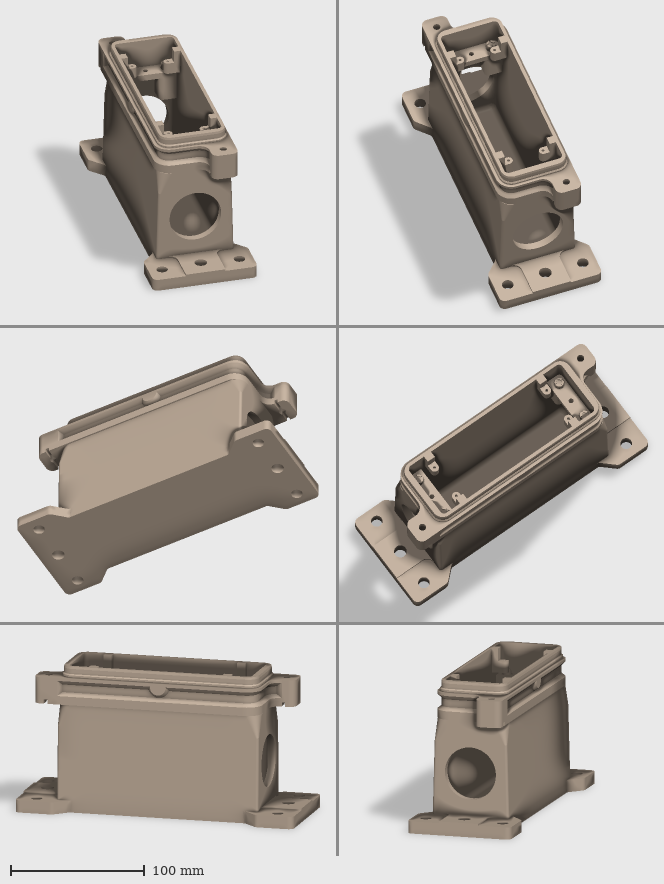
import cadquery as cq
import math

LENGTH = 216.0
WIDTH = 81.0
FOOT_HEIGHT = 9.3
FOOT_NECK_X = 79.0
FOOT_ROOT_X = 67.8
FOOT_CORNER_RADIUS = 4.3
FOOT_NECK_RADIUS = 4.3
FOOT_ROOT_RADIUS = 4.8
FOOT_HOLE_X = 93.5
FOOT_HOLE_Y = 30.0
FOOT_HOLE_DIAMETER = 8.6
PAD_HEIGHT = 10.5
PAD_WIDTH = 30.7
PAD_FLARE_RADIUS = 6.5
PAD_HOLE_DIAMETER = 9.5

BODY_LENGTH = 156.2
BODY_BASE_WIDTH = 60.5
BODY_TOP_WIDTH = 56.2
BODY_EDGE_RADIUS = 2.0
BODY_TOP_RADIUS = 9.5
SHOULDER_Z = 65.5
CABLE_HOLE_DIAMETER = 40.0
CABLE_HOLE_Z = 42.1

FLANGE_BOTTOM = 82.0
FLANGE_TOP = 102.4
FLANGE_WIDTH = 58.3
FLANGE_RADIUS = 12.0
EAR_TIP_X = 96.1
EAR_INNER_Y = 8.9
EAR_CORNER_RADIUS = 5.2
EAR_ROOT_RADIUS = 7.8
EAR_HOLE_X = 87.0
EAR_HOLE_Y = 19.2
EAR_HOLE_DIAMETER = 5.5
EAR_SLOT_WIDTH = 2.8
EAR_SLOT_DEPTH = 3.2
GROOVE_DEPTH = 3.2
GROOVE_START_RUN = 3.2
GROOVE_END_RUN = 6.5
GROOVE_BOTTOM = 88.5
GROOVE_FLOOR_BOTTOM = 91.2
GROOVE_FLOOR_TOP = 97.0
GROOVE_TOP = 100.2
STOP_Z = 99.8
STOP_ROOT_RADIUS = 8.5
STOP_FACE_RADIUS = 6.0

HEIGHT = 111.0
COLLAR_LENGTH = 151.2
COLLAR_WIDTH = 51.8
COLLAR_RADIUS = 8.6
COLLAR_BEVEL_HEIGHT = 1.7
COLLAR_BEVEL_INSET = 0.5
LIP_OVERHANG = 1.0
LIP_BOTTOM = 103.2
LIP_TOP = 105.5
LIP_CHAMFER = 0.9

CAVITY_TOP_LENGTH = 141.3
CAVITY_TOP_WIDTH = 45.8
CAVITY_LOWER_LENGTH = 144.7
CAVITY_FLOOR_WIDTH = 42.8
CAVITY_TOP_CORNER_RADIUS = 3.2
CAVITY_LOWER_CORNER_RADIUS = 4.3
CAVITY_FLOOR_Z = 9.3
CAVITY_FLOOR_RADIUS = 3.9
SHELF_INNER_X = 58.0
SHELF_TOP = 88.3
SHELF_THICKNESS = 4.8
GUSSET_BOTTOM = 64.8
GUSSET_INNER_Y = 9.0
GUSSET_EDGE_RADIUS = 3.2
SHELF_HOLE_X = 64.4
SHELF_HOLE_DIAMETER = 3.7
SCREW_X = 65.0
SCREW_Y = 16.0
SCREW_TOP = 92.7
SCREW_SEAT_DIAMETER = 8.6
SCREW_SEAT_DEPTH = 1.0
SCREW_DIAMETER = 7.0
SCREW_SOCKET_DIAMETER = 3.9
SCREW_SLOT_WIDTH = 1.0
SCREW_SLOT_DEPTH = 1.3
TAB_X = 51.8
TAB_WIDTH = 6.5
TAB_BLOCK_Y = 18.0
TAB_HOLE_Y = 13.8
TAB_POST_TOP = 101.3
TAB_BOTTOM = 92.5
TAB_HOLE_DIAMETER = 2.2
TAB_HOLE_DEPTH = 4.3

Z_AXIS_END = (0, 0, 1)
OVERLAP = 1.0


def rounded_block(length, width, bottom, top, radius):
    """Upright block centred on the Z axis with rounded vertical edges."""
    block = cq.Workplane("XY").workplane(offset=bottom).rect(length, width).extrude(top - bottom)
    return block.edges("|Z").fillet(radius)


def cylinder(x, y, bottom, top, diameter):
    """Upright cylinder."""
    return cq.Workplane("XY").workplane(offset=bottom).center(x, y).circle(diameter / 2).extrude(top - bottom)


def box(x_range, y_range, z_range):
    """Box from its limits along the three axes."""
    sizes = [limits[1] - limits[0] for limits in (x_range, y_range, z_range)]
    corner = (x_range[0], y_range[0], z_range[0])
    return cq.Workplane("XY").box(*sizes, centered=False).translate(corner)


def half_turn(shape):
    """The same feature at the diagonally opposite place."""
    return shape.rotate((0, 0, 0), Z_AXIS_END, 180)


def rounded_loft(bottom, bottom_size, bottom_radius, top, top_size, top_radius):
    """Ruled transition between two rounded rectangles."""
    lower = cq.Sketch().rect(*bottom_size).vertices().fillet(bottom_radius)
    upper = cq.Sketch().rect(*top_size).vertices().fillet(top_radius)
    upper = upper.moved(cq.Location(cq.Vector(0, 0, top - bottom)))
    return cq.Workplane("XY").workplane(offset=bottom).placeSketch(lower, upper).loft(ruled=True)


def body_width(z):
    """Width of the drafted body at height z."""
    return BODY_BASE_WIDTH + (BODY_TOP_WIDTH - BODY_BASE_WIDTH) * z / FLANGE_BOTTOM


def make_foot():
    """Foot plate at the -X end with its raised centre pad."""
    half_width = WIDTH / 2
    root_y = body_width(FOOT_HEIGHT) / 2
    inner_x = FOOT_ROOT_X - FOOT_ROOT_RADIUS
    outline = [
        (-LENGTH / 2, -half_width),
        (-FOOT_NECK_X, -half_width),
        (-FOOT_ROOT_X, -root_y),
        (-inner_x, -root_y),
        (-inner_x, root_y),
        (-FOOT_ROOT_X, root_y),
        (-FOOT_NECK_X, half_width),
        (-LENGTH / 2, half_width),
    ]
    foot = cq.Workplane("XY").polyline(outline).close().extrude(FOOT_HEIGHT)
    foot = foot.edges("|Z and <X").fillet(FOOT_CORNER_RADIUS)
    foot = foot.edges("|Z and (>Y or <Y)").edges(">X").fillet(FOOT_NECK_RADIUS)
    root_edges = cq.selectors.BoxSelector(
        (-FOOT_ROOT_X - OVERLAP, -half_width, 0), (-FOOT_ROOT_X + OVERLAP, half_width, FOOT_HEIGHT)
    )
    foot = foot.edges("|Z").edges(root_edges).fillet(FOOT_ROOT_RADIUS)

    pad_y = PAD_WIDTH / 2
    face_x = BODY_LENGTH / 2
    flare_x = face_x + PAD_FLARE_RADIUS
    flare_y = pad_y + PAD_FLARE_RADIUS
    pad = (
        cq.Workplane("XY")
        .moveTo(-LENGTH / 2, -pad_y)
        .lineTo(-flare_x, -pad_y)
        .radiusArc((-face_x, -flare_y), PAD_FLARE_RADIUS)
        .lineTo(-FOOT_ROOT_X, -flare_y)
        .lineTo(-FOOT_ROOT_X, flare_y)
        .lineTo(-face_x, flare_y)
        .radiusArc((-flare_x, pad_y), PAD_FLARE_RADIUS)
        .lineTo(-LENGTH / 2, pad_y)
        .close()
        .extrude(PAD_HEIGHT)
    )
    foot = foot.union(pad)
    for y in (-FOOT_HOLE_Y, FOOT_HOLE_Y):
        foot = foot.cut(cylinder(-FOOT_HOLE_X, y, 0, PAD_HEIGHT, FOOT_HOLE_DIAMETER))
    return foot.cut(cylinder(-FOOT_HOLE_X, 0, 0, PAD_HEIGHT, PAD_HOLE_DIAMETER))


def make_body():
    """Drafted body whose upright edges widen into cones under the flange."""
    base_size = (BODY_LENGTH, BODY_BASE_WIDTH)
    shoulder_size = (BODY_LENGTH, body_width(SHOULDER_Z))
    top_size = (BODY_LENGTH, BODY_TOP_WIDTH)
    lower = rounded_loft(0, base_size, BODY_EDGE_RADIUS, SHOULDER_Z, shoulder_size, BODY_EDGE_RADIUS)
    upper = rounded_loft(
        SHOULDER_Z, shoulder_size, BODY_EDGE_RADIUS, FLANGE_BOTTOM, top_size, BODY_TOP_RADIUS
    )
    return lower.union(upper)


def make_ear():
    """Ear at the -X, -Y corner of the flange, with a hole and a slot under it."""
    face_x = BODY_LENGTH / 2
    front_y = FLANGE_WIDTH / 2
    inner_x = face_x - FLANGE_RADIUS
    ear = (
        cq.Workplane("XY")
        .workplane(offset=FLANGE_BOTTOM)
        .moveTo(-inner_x, -front_y)
        .lineTo(-EAR_TIP_X, -front_y)
        .lineTo(-EAR_TIP_X, -EAR_INNER_Y)
        .lineTo(-face_x - EAR_ROOT_RADIUS, -EAR_INNER_Y)
        .radiusArc((-face_x, -EAR_INNER_Y + EAR_ROOT_RADIUS), -EAR_ROOT_RADIUS)
        .lineTo(-inner_x, -EAR_INNER_Y + EAR_ROOT_RADIUS)
        .close()
        .extrude(FLANGE_TOP - FLANGE_BOTTOM)
    )
    ear = ear.edges("|Z and <X").fillet(EAR_CORNER_RADIUS)
    ear = ear.cut(cylinder(-EAR_HOLE_X, -EAR_HOLE_Y, FLANGE_BOTTOM, FLANGE_TOP, EAR_HOLE_DIAMETER))
    slot = box(
        (-EAR_HOLE_X - EAR_SLOT_WIDTH / 2, -EAR_HOLE_X + EAR_SLOT_WIDTH / 2),
        (-front_y, -EAR_INNER_Y),
        (FLANGE_BOTTOM, FLANGE_BOTTOM + EAR_SLOT_DEPTH),
    )
    return ear.cut(slot)


def groove_end_slope(rim_x, rim_y, run):
    """Wedge that slopes one groove end from the rim to the floor over a run along X."""
    floor_y = rim_y + GROOVE_DEPTH
    return (
        cq.Workplane("XY")
        .workplane(offset=GROOVE_BOTTOM)
        .polyline([(rim_x, rim_y), (rim_x + run, floor_y), (rim_x, floor_y)])
        .close()
        .extrude(GROOVE_TOP - GROOVE_BOTTOM)
    )


def make_groove():
    """Flared groove along the -Y side, around the corner and up to the +X ear."""
    face_x = BODY_LENGTH / 2
    front_y = FLANGE_WIDTH / 2
    end_x = face_x + EAR_ROOT_RADIUS
    arc_share = 1 - math.sqrt(0.5)
    corner_mid = (face_x - FLANGE_RADIUS * arc_share, -front_y + FLANGE_RADIUS * arc_share)
    root_mid = (face_x + EAR_ROOT_RADIUS * arc_share, EAR_INNER_Y - EAR_ROOT_RADIUS * arc_share)
    path = (
        cq.Workplane("XY")
        .moveTo(-face_x, -front_y)
        .lineTo(face_x - FLANGE_RADIUS, -front_y)
        .threePointArc(corner_mid, (face_x, -front_y + FLANGE_RADIUS))
        .lineTo(face_x, EAR_INNER_Y - EAR_ROOT_RADIUS)
        .threePointArc(root_mid, (end_x, EAR_INNER_Y))
    )
    floor_y = -front_y + GROOVE_DEPTH
    section = [
        (-front_y - OVERLAP, GROOVE_BOTTOM),
        (-front_y, GROOVE_BOTTOM),
        (floor_y, GROOVE_FLOOR_BOTTOM),
        (floor_y, GROOVE_FLOOR_TOP),
        (-front_y, GROOVE_TOP),
        (-front_y - OVERLAP, GROOVE_TOP),
    ]
    plane = cq.Workplane("YZ", origin=(-face_x, 0, 0))
    groove = plane.polyline(section).close().sweep(path)
    start_slope = groove_end_slope(-face_x, -front_y, GROOVE_START_RUN)
    end_slope = groove_end_slope(end_x, EAR_INNER_Y, -GROOVE_END_RUN)
    stop = (
        cq.Workplane("XZ", origin=(0, -front_y, STOP_Z))
        .circle(STOP_FACE_RADIUS)
        .workplane(offset=-GROOVE_DEPTH)
        .circle(STOP_ROOT_RADIUS)
        .loft()
    )
    return groove.cut(start_slope).cut(end_slope).cut(stop)


def make_flange():
    """Flange with two diagonal ears and a groove along each side."""
    flange = rounded_block(BODY_LENGTH, FLANGE_WIDTH, FLANGE_BOTTOM, FLANGE_TOP, FLANGE_RADIUS)
    ear = make_ear()
    groove = make_groove()
    return flange.union(ear).union(half_turn(ear)).cut(groove).cut(half_turn(groove))


def make_collar():
    """Collar above the flange with a bevelled rim and a sealing lip."""
    bevel_z = HEIGHT - COLLAR_BEVEL_HEIGHT
    rim_length = COLLAR_LENGTH - 2 * COLLAR_BEVEL_INSET
    rim_width = COLLAR_WIDTH - 2 * COLLAR_BEVEL_INSET
    wall = rounded_block(COLLAR_LENGTH, COLLAR_WIDTH, FLANGE_TOP, bevel_z, COLLAR_RADIUS)
    rim = rounded_loft(
        bevel_z,
        (COLLAR_LENGTH, COLLAR_WIDTH),
        COLLAR_RADIUS,
        HEIGHT,
        (rim_length, rim_width),
        COLLAR_RADIUS - COLLAR_BEVEL_INSET,
    )
    lip_length = COLLAR_LENGTH + 2 * LIP_OVERHANG
    lip_width = COLLAR_WIDTH + 2 * LIP_OVERHANG
    lip = rounded_block(lip_length, lip_width, LIP_BOTTOM, LIP_TOP, COLLAR_RADIUS + LIP_OVERHANG)
    lip = lip.faces(">Z").edges().chamfer(LIP_CHAMFER)
    return wall.union(rim).union(lip)


def make_cavity():
    """Tapered, open-topped cavity with a coved floor, and the cable hole through both ends."""
    shelf_bottom = SHELF_TOP - SHELF_THICKNESS
    taper_share = (shelf_bottom - CAVITY_FLOOR_Z) / (HEIGHT - CAVITY_FLOOR_Z)
    shelf_width = CAVITY_FLOOR_WIDTH + taper_share * (CAVITY_TOP_WIDTH - CAVITY_FLOOR_WIDTH)
    lower = rounded_loft(
        CAVITY_FLOOR_Z,
        (CAVITY_LOWER_LENGTH, CAVITY_FLOOR_WIDTH),
        CAVITY_LOWER_CORNER_RADIUS,
        shelf_bottom,
        (CAVITY_LOWER_LENGTH, shelf_width),
        CAVITY_LOWER_CORNER_RADIUS,
    )
    lower = lower.faces("<Z").edges().fillet(CAVITY_FLOOR_RADIUS)
    upper = rounded_loft(
        shelf_bottom,
        (CAVITY_TOP_LENGTH, shelf_width),
        CAVITY_TOP_CORNER_RADIUS,
        HEIGHT,
        (CAVITY_TOP_LENGTH, CAVITY_TOP_WIDTH),
        CAVITY_TOP_CORNER_RADIUS,
    )
    cable_hole = (
        cq.Workplane("YZ", origin=(-BODY_LENGTH / 2, 0, CABLE_HOLE_Z))
        .circle(CABLE_HOLE_DIAMETER / 2)
        .extrude(BODY_LENGTH)
    )
    return lower.union(upper).union(cable_hole)


def make_screw(x, y):
    """Screw head with a round socket and crossed slots."""
    head = cylinder(x, y, SHELF_TOP - SCREW_SEAT_DEPTH, SCREW_TOP, SCREW_DIAMETER)
    slot_z = SCREW_TOP - SCREW_SLOT_DEPTH
    head = head.cut(cylinder(x, y, slot_z, SCREW_TOP, SCREW_SOCKET_DIAMETER))
    for angle in (0, 90):
        slot = cq.Workplane("XY").rect(SCREW_DIAMETER, SCREW_SLOT_WIDTH).extrude(SCREW_SLOT_DEPTH)
        head = head.cut(slot.rotate((0, 0, 0), Z_AXIS_END, angle).translate((x, y, slot_z)))
    return head


def make_shelf():
    """Shelf across the +X end of the cavity, on two gussets and carrying two screws."""
    shelf_bottom = SHELF_TOP - SHELF_THICKNESS
    x_limits = (SHELF_INNER_X, CAVITY_LOWER_LENGTH / 2 + OVERLAP)
    half_width = CAVITY_TOP_WIDTH / 2 + OVERLAP
    shelf = box(x_limits, (-half_width, half_width), (shelf_bottom, SHELF_TOP))
    shelf = shelf.cut(cylinder(SHELF_HOLE_X, 0, shelf_bottom, SHELF_TOP, SHELF_HOLE_DIAMETER))
    for side in (-1, 1):
        y_limits = sorted((side * GUSSET_INNER_Y, side * half_width))
        gusset = box(x_limits, y_limits, (GUSSET_BOTTOM, shelf_bottom))
        inner_edge = "<Y" if side > 0 else ">Y"
        gusset = gusset.edges("|Z and <X").edges(inner_edge).fillet(GUSSET_EDGE_RADIUS)
        screw_y = side * SCREW_Y
        seat = cylinder(SCREW_X, screw_y, SHELF_TOP - SCREW_SEAT_DEPTH, SHELF_TOP, SCREW_SEAT_DIAMETER)
        shelf = shelf.union(gusset).cut(seat).union(make_screw(SCREW_X, screw_y))
    return shelf


def make_tab(x, side):
    """Wall block with a lower round-nosed post, on the wall at side -1 or 1."""
    x_limits = (x - TAB_WIDTH / 2, x + TAB_WIDTH / 2)
    wall_y = side * (CAVITY_TOP_WIDTH / 2 + OVERLAP)
    block = box(x_limits, sorted((side * TAB_BLOCK_Y, wall_y)), (TAB_BOTTOM, HEIGHT))
    web = box(x_limits, sorted((side * TAB_HOLE_Y, wall_y)), (TAB_BOTTOM, TAB_POST_TOP))
    nose = cylinder(x, side * TAB_HOLE_Y, TAB_BOTTOM, TAB_POST_TOP, TAB_WIDTH)
    hole = cylinder(x, side * TAB_HOLE_Y, TAB_POST_TOP - TAB_HOLE_DEPTH, TAB_POST_TOP, TAB_HOLE_DIAMETER)
    return block.union(web).union(nose).cut(hole)


foot = make_foot()
result = make_body().union(foot).union(half_turn(foot)).union(make_flange()).union(make_collar())
result = result.cut(make_cavity())
shelf = make_shelf()
result = result.union(shelf).union(half_turn(shelf))
for tab_x in (-TAB_X, TAB_X):
    for wall in (-1, 1):
        result = result.union(make_tab(tab_x, wall))